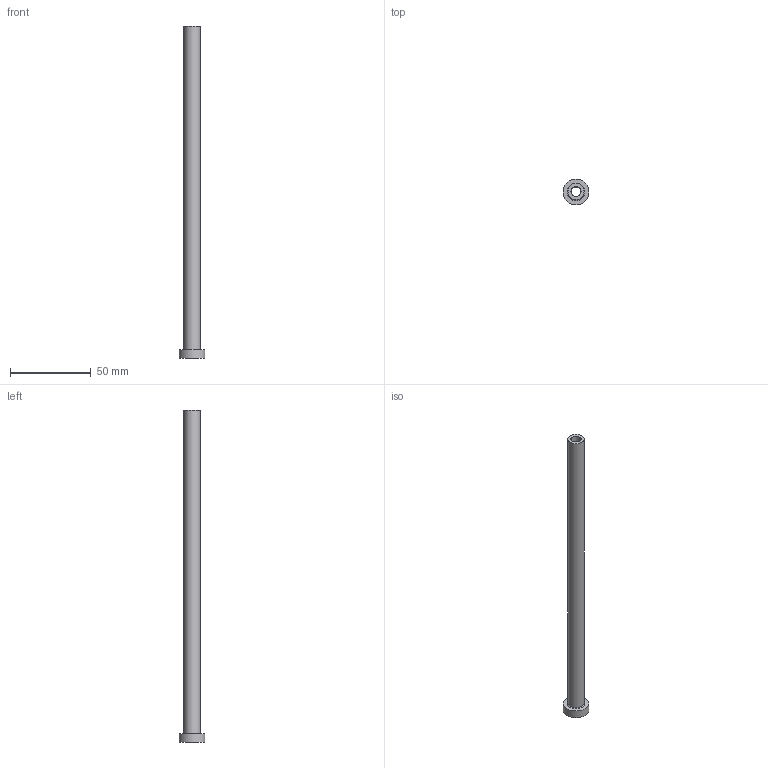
import cadquery as cq

total_length = 205.0
head_diameter = 16.0
head_height = 5.0
shank_diameter = 10.0
bore_diameter = 6.2
root_fillet_radius = 0.5


def make_solid_pin():
    """Head and shank along Z, with the underside of the head at Z = 0."""
    shank_length = total_length - head_height
    head = cq.Workplane("XY").circle(head_diameter / 2).extrude(head_height)
    return head.faces(">Z").workplane().circle(shank_diameter / 2).extrude(shank_length)


def round_shank_root(pin):
    """Fillet the corner where the shank meets the top of the head."""
    shank_edges = pin.edges(cq.selectors.RadiusNthSelector(0))
    return shank_edges.edges("<Z").fillet(root_fillet_radius)


def cut_bore(pin):
    """Through bore along the axis."""
    bore = cq.Workplane("XY").circle(bore_diameter / 2).extrude(total_length)
    return pin.cut(bore)


result = cut_bore(round_shank_root(make_solid_pin()))